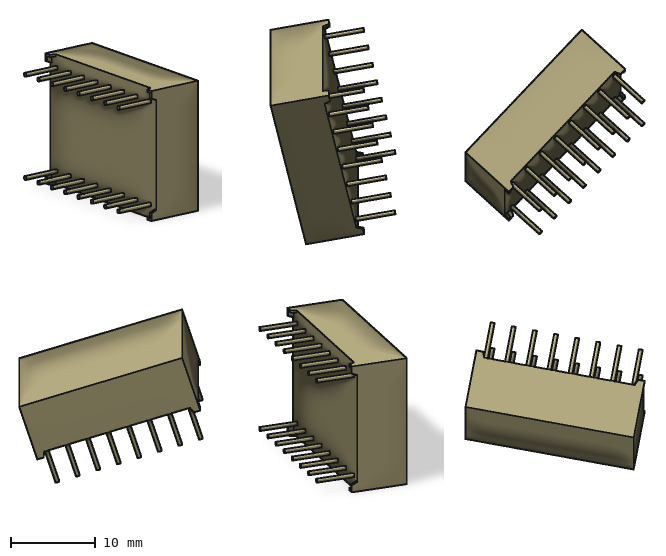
import cadquery as cq

body_width = 20.2
body_depth = 6.3
body_height = 16.0

foot_height = 0.7
foot_wall = 0.3
foot_end_slope = 0.3
foot_base_along_x = 1.1
foot_base_along_z = 1.25

pin_diameter = 0.5
pin_length = 4.7
pins_per_row = 8
pin_pitch = 2.54
row_spacing = 12.7


def make_body():
    return cq.Workplane("XY").box(body_width, body_depth, body_height, centered=(True, False, True))


def foot_arm_profile(plane, corner, base_length):
    """Arm outline running inward from the corner, narrowing toward its tip."""
    tip_length = base_length - foot_end_slope
    points = [
        (corner, 0),
        (corner + base_length, 0),
        (corner + tip_length, -foot_height),
        (corner, -foot_height),
    ]
    if plane == "YZ":
        points = [(y, z) for z, y in points]
    return cq.Workplane(plane).polyline(points).close()


def make_corner_foot():
    """Foot at the corner of minimum X and minimum Z."""
    left = -body_width / 2
    bottom = -body_height / 2
    arm_along_x = foot_arm_profile("XY", left, foot_base_along_x).extrude(foot_wall)
    arm_along_z = foot_arm_profile("YZ", bottom, foot_base_along_z).extrude(foot_wall)
    return arm_along_x.translate((0, 0, bottom)).union(arm_along_z.translate((left, 0, 0)))


def make_feet():
    corner_foot = make_corner_foot()
    bottom_feet = corner_foot.union(corner_foot.mirror("YZ"))
    return bottom_feet.union(bottom_feet.mirror("XY"))


def make_pins():
    return (
        cq.Workplane("XZ")
        .rarray(pin_pitch, row_spacing, pins_per_row, 2)
        .circle(pin_diameter / 2)
        .extrude(pin_length)
    )


result = make_body().union(make_feet()).union(make_pins())